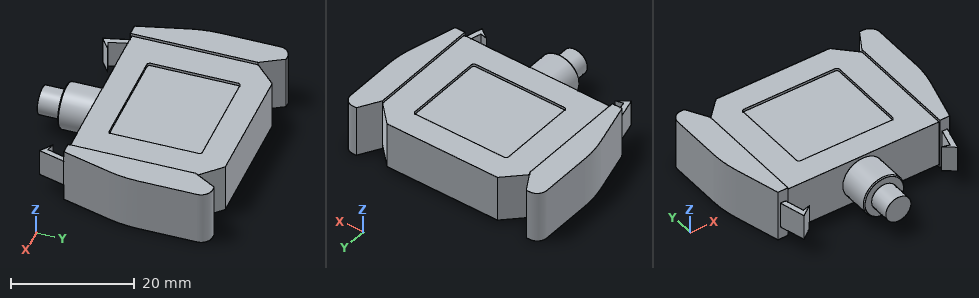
import cadquery as cq
import math

BODY_WIDTH = 30.0
BODY_LENGTH = 25.5
BODY_HEIGHT = 9.0
BODY_CHAMFER = 3.75

RECESS_WIDTH = 19.0
RECESS_LENGTH = 16.0
RECESS_DEPTH = 0.5
RECESS_CORNER_RADIUS = 0.5

GRIP_WIDTH = 5.0
GRIP_HEIGHT = 10.0
GRIP_OVERHANG = 0.25
GRIP_FRONT_WIDTH = 2.0
GRIP_TAPER = math.radians(15)
GRIP_BEND_RADIUS = 20.0
GRIP_CORNER_RADIUS = 2.0
GRIP_NOTCH_DEPTH = 4.0
GRIP_NOTCH_ANGLE = math.radians(30)

HOOK_LENGTH = 5.0
HOOK_THICKNESS = 1.0
HOOK_BARB_START = 4.0
HOOK_BARB_REACH = 1.5
HOOK_HEIGHT = 5.0
HOOK_INSET = 0.5

SLEEVE_DIAMETER = 8.0
SLEEVE_LENGTH = 6.0
SLEEVE_CHAMFER = 0.2
CABLE_DIAMETER = 5.0
CABLE_LENGTH = 4.0

GRIP_INNER_X = -BODY_WIDTH / 2
GRIP_OUTER_X = GRIP_INNER_X - GRIP_WIDTH
GRIP_FRONT_X = GRIP_INNER_X - GRIP_FRONT_WIDTH
GRIP_FRONT_Y = -GRIP_OVERHANG
GRIP_BACK_Y = BODY_LENGTH + GRIP_OVERHANG


def extrude_centred(profile, height):
    """Extrude a closed XY profile symmetrically about z = 0."""
    return profile.extrude(height / 2, both=True)


def make_body():
    body = (
        cq.Workplane("XY")
        .box(BODY_WIDTH, BODY_LENGTH, BODY_HEIGHT)
        .edges("|Z and >Y")
        .chamfer(BODY_CHAMFER)
    )
    recess = (
        cq.Workplane("XY")
        .workplane(offset=BODY_HEIGHT / 2 - RECESS_DEPTH)
        .rect(RECESS_WIDTH, RECESS_LENGTH)
        .extrude(RECESS_DEPTH)
        .edges("|Z")
        .fillet(RECESS_CORNER_RADIUS)
    )
    return body.cut(recess).translate((0, BODY_LENGTH / 2, 0))


def make_grip():
    """Left grip: straight outer side that bends into a tapered front."""
    bend_corner_y = GRIP_FRONT_Y + (GRIP_WIDTH - GRIP_FRONT_WIDTH) / math.tan(GRIP_TAPER)
    bend_start_y = bend_corner_y + GRIP_BEND_RADIUS * math.tan(GRIP_TAPER / 2)
    bend_centre_x = GRIP_OUTER_X + GRIP_BEND_RADIUS

    def bend_point(angle):
        x = bend_centre_x - GRIP_BEND_RADIUS * math.cos(angle)
        y = bend_start_y - GRIP_BEND_RADIUS * math.sin(angle)
        return (x, y)

    notch_back_x = GRIP_INNER_X - GRIP_NOTCH_DEPTH * math.tan(GRIP_NOTCH_ANGLE)
    profile = (
        cq.Workplane("XY")
        .moveTo(GRIP_INNER_X, GRIP_FRONT_Y)
        .lineTo(GRIP_INNER_X, GRIP_BACK_Y - GRIP_NOTCH_DEPTH)
        .lineTo(notch_back_x, GRIP_BACK_Y)
        .lineTo(GRIP_OUTER_X + GRIP_CORNER_RADIUS, GRIP_BACK_Y)
        .radiusArc((GRIP_OUTER_X, GRIP_BACK_Y - GRIP_CORNER_RADIUS), -GRIP_CORNER_RADIUS)
        .lineTo(GRIP_OUTER_X, bend_start_y)
        .threePointArc(bend_point(GRIP_TAPER / 2), bend_point(GRIP_TAPER))
        .lineTo(GRIP_FRONT_X, GRIP_FRONT_Y)
        .close()
    )
    return extrude_centred(profile, GRIP_HEIGHT)


def make_hook():
    """Left latch hook, parallel to the tapered side of its grip."""
    sine = math.sin(GRIP_TAPER)
    cosine = math.cos(GRIP_TAPER)

    def hook_point(along, inward):
        x = GRIP_FRONT_X + HOOK_INSET + along * sine + inward * cosine
        y = GRIP_FRONT_Y - along * cosine + inward * sine
        return (x, y)

    root_skew = HOOK_THICKNESS * math.tan(GRIP_TAPER)
    profile = (
        cq.Workplane("XY")
        .polyline([
            hook_point(0, 0),
            hook_point(HOOK_LENGTH, 0),
            hook_point(HOOK_BARB_START, HOOK_THICKNESS + HOOK_BARB_REACH),
            hook_point(HOOK_BARB_START, HOOK_THICKNESS),
            hook_point(root_skew, HOOK_THICKNESS),
        ])
        .close()
    )
    return extrude_centred(profile, HOOK_HEIGHT)


def make_cable_outlet():
    sleeve = (
        cq.Workplane("XZ")
        .circle(SLEEVE_DIAMETER / 2)
        .extrude(SLEEVE_LENGTH)
        .faces("<Y")
        .chamfer(SLEEVE_CHAMFER)
    )
    cable = (
        cq.Workplane("XZ")
        .circle(CABLE_DIAMETER / 2)
        .extrude(SLEEVE_LENGTH + CABLE_LENGTH)
    )
    return sleeve.union(cable)


left_side = make_grip().union(make_hook())
right_side = left_side.mirror("YZ")
result = make_body().union(left_side).union(right_side).union(make_cable_outlet())